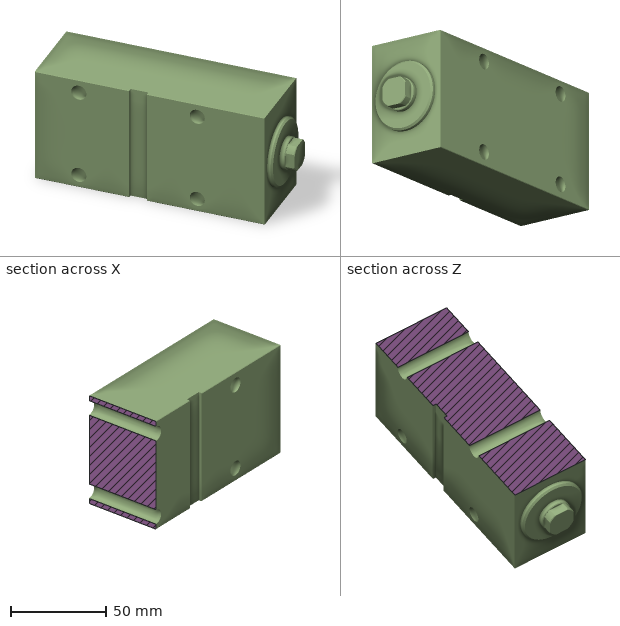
import cadquery as cq

total_length = 141.0
block_length = 130.0
block_width = 45.0
block_height = 65.0
edge_chamfer = 0.3

groove_width = 10.0
groove_depth = 2.0

hole_diameter = 8.5
hole_pitch_x = 67.0
hole_pitch_z = 50.0
first_hole_x = 25.0
hole_centre_x = first_hole_x + hole_pitch_x / 2

flange_diameter = 37.9
flange_thickness = 3.0
flange_chamfer = 1.0

collar_diameter = 18.0
collar_length = 3.0
collar_chamfer = 0.4
square_size = 15.0
square_corner_diameter = 17.0
square_end_chamfer = 0.4

flange_start = block_length
collar_start = flange_start + flange_thickness
square_start = collar_start + collar_length
square_length = total_length - square_start


def x_cylinder(start, diameter, length):
    """Cylinder on the X axis that runs from start towards +X."""
    return cq.Workplane("YZ", origin=(start, 0, 0)).circle(diameter / 2).extrude(length)


def make_block():
    block = cq.Workplane("XY").box(block_length, block_width, block_height, centered=(False, True, True))
    block = block.edges("|X").chamfer(edge_chamfer)
    groove = cq.Workplane("XY").box(groove_width, 2 * groove_depth, block_height)
    groove = groove.translate((hole_centre_x, -block_width / 2, 0))
    holes = (
        cq.Workplane("XZ", origin=(hole_centre_x, block_width / 2, 0))
        .rarray(hole_pitch_x, hole_pitch_z, 2, 2)
        .circle(hole_diameter / 2)
        .extrude(block_width)
    )
    return block.cut(groove).cut(holes)


def make_flange():
    flange = x_cylinder(flange_start, flange_diameter, flange_thickness)
    return flange.faces(">X").edges().chamfer(flange_chamfer)


def make_rod_end():
    collar = x_cylinder(collar_start, collar_diameter, collar_length)
    collar = collar.faces(">X").edges().chamfer(collar_chamfer)
    round_bar = x_cylinder(square_start, square_corner_diameter, square_length)
    round_bar = round_bar.faces(">X").edges().chamfer(square_end_chamfer)
    square_bar = (
        cq.Workplane("YZ", origin=(square_start, 0, 0))
        .rect(square_size, square_size)
        .extrude(square_length)
    )
    return collar.union(round_bar.intersect(square_bar))


block = make_block()
flange = make_flange()
rod_end = make_rod_end()

result = cq.Compound.makeCompound([block.val(), flange.val(), rod_end.val()])